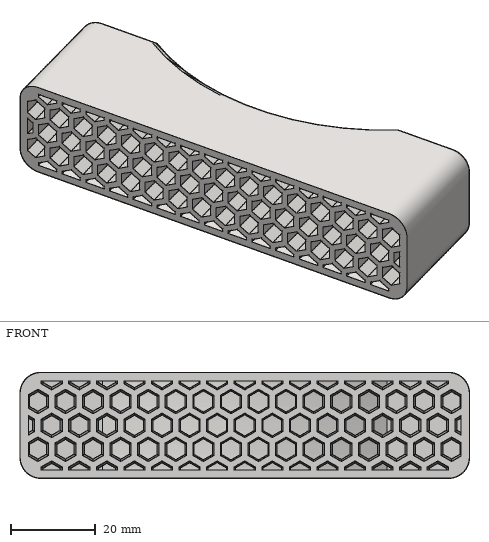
import cadquery as cq
import math

length = 106.0
depth = 30.0
height = 25.0
corner_radius = 5.0
back_fillet = 1.5

notch_half_width = 33.0
notch_depth = 10.0
notch_radius = (notch_half_width**2 + notch_depth**2) / (2 * notch_depth)
notch_center_y = depth - notch_depth + notch_radius

wall = 2.0
cell_width = 5.0
cell_draft = 1.0
row_cells = 16
row_span = 97.5
cell_pitch = row_span / (row_cells - 1)
row_pitch = cell_pitch * math.sin(math.radians(60))
cell_diameter = cell_width / math.cos(math.radians(30))


def bar(width, tall, deep):
    """Block centered on X and Z that reaches from the front face to Y = deep."""
    return cq.Workplane("XY").box(width, deep, tall).translate((0, deep / 2, 0))


def notch_cylinder(radius):
    """Vertical cylinder around the axis of the notch, taller than the body."""
    return cq.Workplane("XY").center(0, notch_center_y).circle(radius).extrude(height, both=True)


def is_back_rim(edge):
    """True for edges around the back, except the upright corners of the notch."""
    center = edge.Center()
    on_notch_corner = math.isclose(abs(center.x), notch_half_width, abs_tol=0.01)
    return center.y > depth - notch_depth and not on_notch_corner


def make_body():
    """Rounded bar with the notch, its edges softened around the back."""
    body = bar(length, height, depth).edges("|Y").fillet(corner_radius)
    body = body.cut(notch_cylinder(notch_radius))
    back_rim = [edge for edge in body.edges().vals() if is_back_rim(edge)]
    return body.newObject(back_rim).fillet(back_fillet)


def cell_centers():
    """Centers (X, Z) of five staggered rows, symmetric about the middle row."""
    cells_per_row = {
        -2: row_cells - 1,
        -1: row_cells,
        0: row_cells + 1,
        1: row_cells,
        2: row_cells - 1,
    }
    centers = []
    for row, count in cells_per_row.items():
        for column in range(count):
            x = (column - (count - 1) / 2) * cell_pitch
            centers.append((x, row * row_pitch))
    return centers


def make_cell():
    """One drafted hexagonal cell, corners pointing up and down, as deep as the body."""
    hexagon = []
    for angle in range(30, 390, 60):
        x = cell_diameter / 2 * math.cos(math.radians(angle))
        z = cell_diameter / 2 * math.sin(math.radians(angle))
        hexagon.append((x, z))
    return cq.Workplane("XZ").polyline(hexagon).close().extrude(-depth, taper=cell_draft).val()


def make_pockets():
    """Honeycomb cells trimmed to the space inside the outer walls."""
    inside = bar(length - 2 * wall, height - 2 * wall, depth - wall)
    inside = inside.cut(notch_cylinder(notch_radius + wall))
    cell = make_cell()
    cells = [cell.translate(cq.Vector(x, 0, z)) for x, z in cell_centers()]
    return cq.Workplane(cq.Compound.makeCompound(cells)).intersect(inside)


result = make_body().cut(make_pockets()).solids()